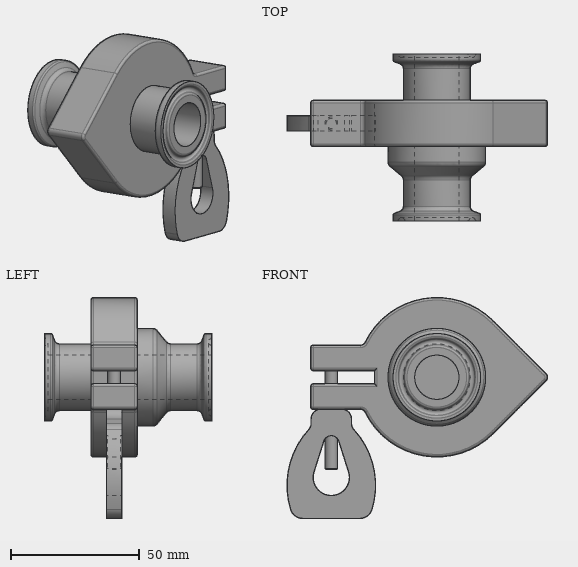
import cadquery as cq
import math


CLAMP_RADIUS = 31.0
CLAMP_WIDTH = 18.0
TIP_RADIUS = 2.0
ARM_END_X = -49.0
ARM_HALF_HEIGHT = 12.5
ARM_ROOT_RADIUS = 2.0
SLOT_HEIGHT = 5.0
SLOT_END_X = -24.25
EDGE_RADIUS = 1.0

BORE_DIAMETER = 17.2
TUBE_DIAMETER = 26.0
FLANGE_DIAMETER = 34.0
BODY_DIAMETER = 38.0
FRONT_LENGTH = 29.0
BACK_LENGTH = 18.0
BODY_LENGTH = 7.0
CONE_LENGTH = 5.0
CONE_RADIUS = 2.0

RIM_THICKNESS = 2.9
FLANGE_SLOPE = 20.0
RIM_EDGE_RADIUS = 0.75
FLANGE_ROOT_RADIUS = 2.0
GROOVE_DIAMETER = 27.5
GROOVE_WALL_ANGLE = 60.0
GROOVE_BOTTOM_HALF = 1.05
GROOVE_WALL_HALF = 1.2
GROOVE_HALF_WIDTH = 2.15

SCREW_X = -41.0
SCREW_DIAMETER = 5.0
SCREW_END_Z = -35.9
SCREW_CHAMFER = 0.5
HANDLE_THICKNESS = 6.0
HANDLE_BOTTOM_Z = -54.9
HANDLE_TOP_Z = -12.3
HANDLE_HALF_WIDTH = 17.25
HANDLE_SIDE_RADIUS = 32.0
HANDLE_WIDEST_Z = -42.0
NECK_HALF_WIDTH = 7.9
NECK_TOP_RADIUS = 4.0
NECK_ROOT_RADIUS = 3.5
HANDLE_CORNER_RADIUS = 5.0
EYE_TOP_RADIUS = 3.0
EYE_TOP_Z = -25.7
EYE_BOTTOM_RADIUS = 7.0
EYE_BOTTOM_Z = -38.9

SELECT_SIZE = 0.01

CLAMP_FACE = CLAMP_WIDTH / 2
FRONT_Y = -CLAMP_FACE - FRONT_LENGTH
BACK_Y = CLAMP_FACE + BACK_LENGTH
TUBE_RADIUS = TUBE_DIAMETER / 2
FLANGE_RADIUS = FLANGE_DIAMETER / 2


def slab(outline, thickness):
    """Extrude a closed XZ outline symmetrically about Y = 0."""
    return outline.extrude(thickness / 2, both=True)


def edges_at(body, x, z):
    """Select the edges parallel to Y through the points (x, z) and (x, -z)."""
    size = SELECT_SIZE
    reach = CLAMP_WIDTH
    upper = cq.selectors.BoxSelector((x - size, -reach, z - size), (x + size, reach, z + size))
    lower = cq.selectors.BoxSelector((x - size, -reach, -z - size), (x + size, reach, -z + size))
    return body.edges(upper + lower).edges("|Y")


def make_clamp():
    """Round clamp with a 45 degree point on one side and two slotted arms on the other."""
    tangent = CLAMP_RADIUS * math.cos(math.pi / 4)
    tip_x = CLAMP_RADIUS / math.cos(math.pi / 4)
    root_x = -math.sqrt(CLAMP_RADIUS**2 - ARM_HALF_HEIGHT**2)
    half_slot = SLOT_HEIGHT / 2
    outline = (
        cq.Workplane("XZ")
        .moveTo(tip_x, 0)
        .lineTo(tangent, tangent)
        .threePointArc((0, CLAMP_RADIUS), (root_x, ARM_HALF_HEIGHT))
        .lineTo(ARM_END_X, ARM_HALF_HEIGHT)
        .lineTo(ARM_END_X, half_slot)
        .lineTo(SLOT_END_X, half_slot)
        .lineTo(SLOT_END_X, -half_slot)
        .lineTo(ARM_END_X, -half_slot)
        .lineTo(ARM_END_X, -ARM_HALF_HEIGHT)
        .lineTo(root_x, -ARM_HALF_HEIGHT)
        .threePointArc((0, -CLAMP_RADIUS), (tangent, -tangent))
        .close()
    )
    clamp = slab(outline, CLAMP_WIDTH)
    clamp = edges_at(clamp, tip_x, 0).fillet(TIP_RADIUS)
    clamp = edges_at(clamp, root_x, ARM_HALF_HEIGHT).fillet(ARM_ROOT_RADIUS)
    arm_end_edges = clamp.faces("<X").edges("|Y")
    return clamp.faces("<Y or >Y").edges().add(arm_end_edges).fillet(EDGE_RADIUS)


def make_groove(face_y, inward):
    """Ring cutter for the gasket groove: rounded bottom, short straight walls and rounded lips."""
    centre = GROOVE_DIAMETER / 2
    angle = math.radians(GROOVE_WALL_ANGLE)
    lip_radius = (GROOVE_HALF_WIDTH - GROOVE_WALL_HALF) / math.sin(angle)
    bottom_radius = GROOVE_BOTTOM_HALF / math.sin(angle)
    lip_depth = lip_radius * (1 - math.cos(angle))
    wall_depth = lip_depth + (GROOVE_WALL_HALF - GROOVE_BOTTOM_HALF) * math.tan(angle)
    depth = wall_depth + bottom_radius * (1 - math.cos(angle))
    mid_offset = GROOVE_HALF_WIDTH - lip_radius * math.sin(angle / 2)
    mid_depth = lip_radius * (1 - math.cos(angle / 2))

    def point(offset, below_face):
        return centre + offset, face_y + inward * below_face

    return (
        cq.Workplane("XY")
        .moveTo(*point(-GROOVE_HALF_WIDTH, 0))
        .threePointArc(point(-mid_offset, mid_depth), point(-GROOVE_WALL_HALF, lip_depth))
        .lineTo(*point(-GROOVE_BOTTOM_HALF, wall_depth))
        .threePointArc(point(0, depth), point(GROOVE_BOTTOM_HALF, wall_depth))
        .lineTo(*point(GROOVE_WALL_HALF, lip_depth))
        .threePointArc(point(mid_offset, mid_depth), point(GROOVE_HALF_WIDTH, 0))
        .close()
        .revolve(360, (0, 0), (0, 1))
    )


def circles_at(body, radius, y):
    """Select the full circular edge of a given radius around the pipe axis at position y."""
    size = SELECT_SIZE
    reach = radius + size
    ring = body.edges(cq.selectors.BoxSelector((-reach, y - size, -reach), (reach, y + size, reach)))
    return ring.edges("%CIRCLE").filter(lambda edge: abs(edge.radius() - radius) < size)


def make_pipe():
    """Valve body, cone, tubes and ferrule flanges turned about the pipe axis."""
    body_radius = BODY_DIAMETER / 2
    slope_rise = (FLANGE_RADIUS - TUBE_RADIUS) * math.tan(math.radians(FLANGE_SLOPE))
    cone_start = -CLAMP_FACE - BODY_LENGTH
    cone_end = cone_start - CONE_LENGTH
    front_rim = FRONT_Y + RIM_THICKNESS
    back_rim = BACK_Y - RIM_THICKNESS
    front_root = front_rim + slope_rise
    back_root = back_rim - slope_rise
    pipe = (
        cq.Workplane("XY")
        .moveTo(0, FRONT_Y)
        .lineTo(FLANGE_RADIUS, FRONT_Y)
        .lineTo(FLANGE_RADIUS, front_rim)
        .lineTo(TUBE_RADIUS, front_root)
        .lineTo(TUBE_RADIUS, cone_end)
        .lineTo(body_radius, cone_start)
        .lineTo(body_radius, 0)
        .lineTo(TUBE_RADIUS, 0)
        .lineTo(TUBE_RADIUS, back_root)
        .lineTo(FLANGE_RADIUS, back_rim)
        .lineTo(FLANGE_RADIUS, BACK_Y)
        .lineTo(0, BACK_Y)
        .close()
        .revolve(360, (0, 0), (0, 1))
    )
    for rim_y, root_y in ((front_rim, front_root), (back_rim, back_root)):
        pipe = circles_at(pipe, FLANGE_RADIUS, rim_y).fillet(RIM_EDGE_RADIUS)
        pipe = circles_at(pipe, TUBE_RADIUS, root_y).fillet(FLANGE_ROOT_RADIUS)
    pipe = circles_at(pipe, body_radius, cone_start).fillet(CONE_RADIUS)
    pipe = circles_at(pipe, TUBE_RADIUS, cone_end).fillet(CONE_RADIUS)
    for face_y, inward in ((FRONT_Y, 1), (BACK_Y, -1)):
        pipe = pipe.cut(make_groove(face_y, inward))
    return pipe


def make_bore(face_y, depth):
    """Blind bore cutter running towards the clamp from a flange face; depth is signed along Y."""
    return cq.Workplane("XZ", origin=(0, face_y, 0)).circle(BORE_DIAMETER / 2).extrude(-depth)


def make_eye():
    """Teardrop opening in the handle: two circles joined by their outer tangents."""
    spacing = EYE_TOP_Z - EYE_BOTTOM_Z
    sine = (EYE_BOTTOM_RADIUS - EYE_TOP_RADIUS) / spacing
    cosine = math.sqrt(1 - sine**2)
    top_x = EYE_TOP_RADIUS * cosine
    top_z = EYE_TOP_Z + EYE_TOP_RADIUS * sine
    bottom_x = EYE_BOTTOM_RADIUS * cosine
    bottom_z = EYE_BOTTOM_Z + EYE_BOTTOM_RADIUS * sine
    outline = (
        cq.Workplane("XZ", origin=(SCREW_X, 0, 0))
        .moveTo(bottom_x, bottom_z)
        .lineTo(top_x, top_z)
        .threePointArc((0, EYE_TOP_Z + EYE_TOP_RADIUS), (-top_x, top_z))
        .lineTo(-bottom_x, bottom_z)
        .threePointArc((0, EYE_BOTTOM_Z - EYE_BOTTOM_RADIUS), (bottom_x, bottom_z))
        .close()
    )
    return slab(outline, HANDLE_THICKNESS)


def make_handle():
    """Flat wing handle with bowed sides, a narrow neck and a teardrop eye."""
    side_centre_x = HANDLE_HALF_WIDTH - HANDLE_SIDE_RADIUS
    neck_rise = math.sqrt(HANDLE_SIDE_RADIUS**2 - (NECK_HALF_WIDTH - side_centre_x) ** 2)
    neck_z = HANDLE_WIDEST_Z + neck_rise
    bottom_drop = HANDLE_WIDEST_Z - HANDLE_BOTTOM_Z
    bottom_x = side_centre_x + math.sqrt(HANDLE_SIDE_RADIUS**2 - bottom_drop**2)
    outline = (
        cq.Workplane("XZ", origin=(SCREW_X, 0, 0))
        .moveTo(-bottom_x, HANDLE_BOTTOM_Z)
        .lineTo(bottom_x, HANDLE_BOTTOM_Z)
        .threePointArc((HANDLE_HALF_WIDTH, HANDLE_WIDEST_Z), (NECK_HALF_WIDTH, neck_z))
        .lineTo(NECK_HALF_WIDTH, HANDLE_TOP_Z)
        .lineTo(-NECK_HALF_WIDTH, HANDLE_TOP_Z)
        .lineTo(-NECK_HALF_WIDTH, neck_z)
        .threePointArc((-HANDLE_HALF_WIDTH, HANDLE_WIDEST_Z), (-bottom_x, HANDLE_BOTTOM_Z))
        .close()
    )
    handle = slab(outline, HANDLE_THICKNESS)
    handle = handle.faces("<Z").edges("|Y").fillet(HANDLE_CORNER_RADIUS)
    handle = handle.faces(">Z").edges("|Y").fillet(NECK_TOP_RADIUS)
    neck_zone = cq.selectors.BoxSelector(
        (SCREW_X - HANDLE_HALF_WIDTH, -HANDLE_THICKNESS, neck_z - SELECT_SIZE),
        (SCREW_X + HANDLE_HALF_WIDTH, HANDLE_THICKNESS, neck_z + SELECT_SIZE),
    )
    handle = handle.edges(neck_zone).edges("|Y").fillet(NECK_ROOT_RADIUS)
    return handle.cut(make_eye())


def make_screw():
    """Screw from inside the upper arm down into the handle eye, chamfered at its end."""
    length = ARM_HALF_HEIGHT / 2 - SCREW_END_Z
    return (
        cq.Workplane("XY", origin=(SCREW_X, 0, SCREW_END_Z))
        .circle(SCREW_DIAMETER / 2)
        .extrude(length)
        .faces("<Z")
        .chamfer(SCREW_CHAMFER)
    )


result = make_clamp().union(make_pipe()).union(make_handle()).union(make_screw())
result = result.cut(make_bore(FRONT_Y, FRONT_LENGTH)).cut(make_bore(BACK_Y, -BACK_LENGTH))